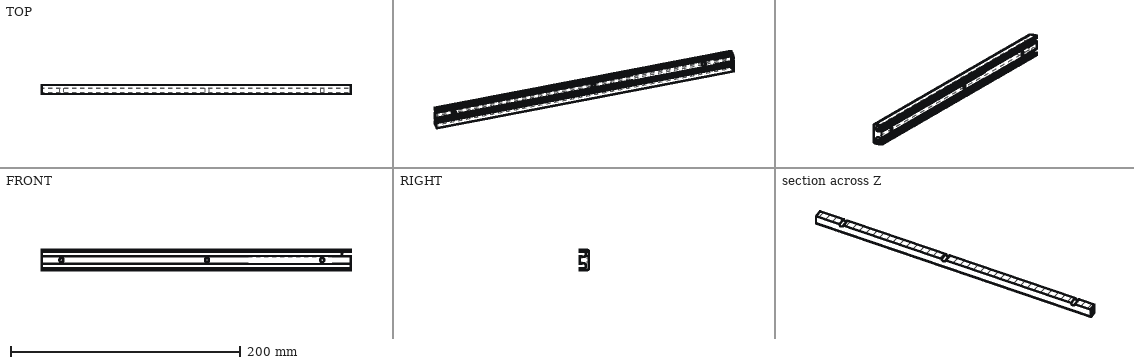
import cadquery as cq

length = 269.97
depth = 8.0
height = 18.0
half_height = height / 2

corner_depth = 1.8
corner_drop = 1.0
corner_radius = 3.1

flange_inner = 6.85
flange_hollow = 7.2
lip_half_width = 3.6
rib_half_face = 2.9
rib_half_waist = 2.85
lip_setback = 0.4
lip_end = 1.4
floor_edge_depth = 5.0
floor_depth = 5.4
raceway_middle = (lip_end + floor_edge_depth) / 2
floor_middle = (lip_half_width + flange_inner) / 2

middle_start = 179.7
middle_end = 254.5

hole_diameter = 3.4
hole_positions = (17.3, 144.4, 244.9)

slot_length = 8.2
slot_radius = (flange_inner - lip_half_width) / 2


def rail_blank():
    """Solid bar with bowed bevels along both back corners."""
    return (
        cq.Workplane("YZ")
        .moveTo(0, -half_height)
        .lineTo(depth - corner_depth, -half_height)
        .radiusArc((depth, corner_drop - half_height), -corner_radius)
        .lineTo(depth, half_height - corner_drop)
        .radiusArc((depth - corner_depth, half_height), -corner_radius)
        .lineTo(0, half_height)
        .close()
        .extrude(length)
    )


def upper_groove(start, end, front_half_width):
    """Groove with hollow rib, floor and flange; front_half_width sets how far the rib's front is bevelled."""
    return (
        cq.Workplane("YZ", origin=(start, 0, 0))
        .moveTo(0, front_half_width)
        .lineTo(lip_setback, lip_half_width)
        .lineTo(lip_end, lip_half_width)
        .threePointArc((raceway_middle, rib_half_waist), (floor_edge_depth, lip_half_width))
        .threePointArc((floor_depth, floor_middle), (floor_edge_depth, flange_inner))
        .threePointArc((raceway_middle, flange_hollow), (lip_end, flange_inner))
        .lineTo(0, flange_inner)
        .close()
        .extrude(end - start)
    )


def cut_grooves(rail):
    """Cut both grooves, stretch by stretch along the rail."""
    stretches = (
        (0, middle_start, rib_half_face),
        (middle_start, middle_end, lip_half_width),
        (middle_end, length, rib_half_face),
    )
    for start, end, front_half_width in stretches:
        groove = upper_groove(start, end, front_half_width)
        rail = rail.cut(groove).cut(groove.mirror("XY"))
    return rail


def mounting_holes():
    return (
        cq.Workplane("XZ")
        .pushPoints([(x, 0) for x in hole_positions])
        .circle(hole_diameter / 2)
        .extrude(-depth)
    )


def end_slot():
    arc_start = length - slot_length + slot_radius
    return (
        cq.Workplane("XZ")
        .moveTo(length, lip_half_width)
        .lineTo(arc_start, lip_half_width)
        .threePointArc((length - slot_length, floor_middle), (arc_start, flange_inner))
        .lineTo(length, flange_inner)
        .close()
        .extrude(-depth)
    )


rail = cut_grooves(rail_blank())
result = rail.cut(mounting_holes()).cut(end_slot())